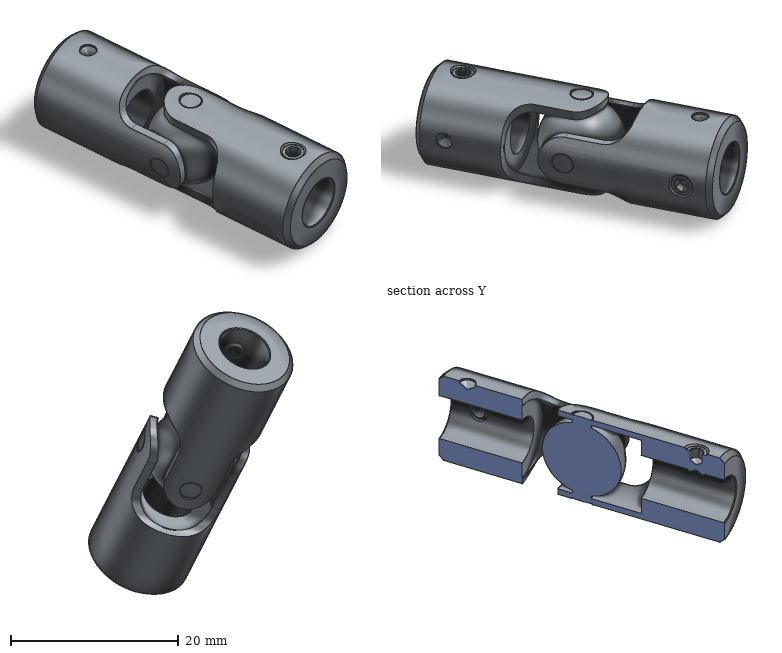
import cadquery as cq
import math


total_length = 38.1
body_diameter = 12.7
body_radius = body_diameter / 2
end_chamfer = 0.65
shaft_bore_diameter = 6.35
bore_rim_chamfer = 0.1

arm_width = 6.35
arm_radius = arm_width / 2
fork_depth = 7.92
fork_cavity_diameter = 10.9

ball_diameter = 10.6
pin_diameter = 2.55
pin_countersink_diameter = 2.9
pin_tip_rise = 0.08
pin_edge_height = body_radius - pin_tip_rise

screw_position = 15.25
screw_diameter = 2.63
screw_hole_chamfer = 0.23
screw_head_height = 6.1
screw_tip_height = 2.95
screw_tip_diameter = 1.9
screw_cup_diameter = 1.68
socket_corner_diameter = 1.8
socket_rim_diameter = 1.85
socket_sides = 6
socket_depth = 1.35
drill_hole_diameter = 2.05
drill_hole_depth = 0.3
drill_point_angle = 118.0

cut_margin = 0.4


def cylinder(diameter, start, end):
    """Cylinder on the Z axis between two heights."""
    return cq.Workplane("XY").workplane(offset=start).circle(diameter / 2).extrude(end - start)


def shaft_cylinder(diameter, start, end):
    """Cylinder on the shaft axis between two X positions."""
    return cq.Workplane("YZ").workplane(offset=start).circle(diameter / 2).extrude(end - start)


def cone(diameter, base, height):
    """Cone on the Z axis; a negative height points its apex down."""
    profile = [(0, base), (diameter / 2, base), (0, base + height)]
    return cq.Workplane("XZ").polyline(profile).close().revolve(360, (0, 0), (0, 1))


def cone_depth(diameter):
    """Depth of a drill point of the given diameter."""
    return diameter / 2 / math.tan(math.radians(drill_point_angle / 2))


def make_pin_countersink():
    """45 degree countersink cutter around a pin, with its mouth at the crest of the body."""
    depth = (pin_countersink_diameter - pin_diameter) / 2
    pin_radius = pin_diameter / 2
    mouth_radius = pin_countersink_diameter / 2
    profile = [
        (0, body_radius - depth),
        (pin_radius, body_radius - depth),
        (mouth_radius, body_radius),
        (mouth_radius, body_radius + cut_margin),
        (0, body_radius + cut_margin),
    ]
    return cq.Workplane("XZ").polyline(profile).close().revolve(360, (0, 0), (0, 1))


def make_fork_notch():
    """Cutter above the arms (+Z), leaving round arm tips and filleted arm roots."""
    arc_step = arm_radius * math.sqrt(0.5)
    root_center = arm_radius - fork_depth
    outline = (
        cq.Workplane("XZ")
        .moveTo(-fork_depth, body_diameter)
        .lineTo(-fork_depth, arm_width)
        .threePointArc((root_center - arc_step, arm_width - arc_step), (root_center, arm_radius))
        .lineTo(0, arm_radius)
        .threePointArc((arc_step, arc_step), (arm_radius, 0))
        .lineTo(body_diameter, 0)
        .lineTo(body_diameter, body_diameter)
        .close()
    )
    return outline.extrude(body_radius + cut_margin, both=True)


def make_set_screw():
    """Hex socket set screw on the Z axis with a chamfered cup point towards the bore."""
    tip_chamfer = (screw_diameter - screw_tip_diameter) / 2
    screw = cylinder(screw_diameter, screw_tip_height, screw_head_height)
    screw = screw.faces("<Z").chamfer(tip_chamfer)
    socket_floor = screw_head_height - socket_depth
    socket = (
        cq.Workplane("XY")
        .workplane(offset=socket_floor)
        .polygon(socket_sides, socket_corner_diameter)
        .extrude(socket_depth)
        .rotate((0, 0, 0), (0, 0, 1), 180 / socket_sides)
    )
    socket_flat_width = socket_corner_diameter * math.cos(math.pi / socket_sides)
    socket_point = cone(socket_flat_width, socket_floor, -cone_depth(socket_flat_width))
    socket_rim = cone(socket_rim_diameter, screw_head_height, -cone_depth(socket_rim_diameter))
    cup = cone(screw_cup_diameter, screw_tip_height, cone_depth(screw_cup_diameter))
    return screw.cut(socket).cut(socket_point).cut(socket_rim).cut(cup)


def make_drilled_hole():
    """Blind drilled hole cutter on the Z axis with a conical bottom."""
    floor = body_radius - drill_hole_depth
    hole = cylinder(drill_hole_diameter, floor, body_radius + cut_margin)
    return hole.union(cone(drill_hole_diameter, floor, -cone_depth(drill_hole_diameter)))


def place_screw(shape):
    """Turn a shape from the Z axis to the set screw place on the +Y side."""
    return shape.rotate((0, 0, 0), (1, 0, 0), -90).translate((-screw_position, 0, 0))


def make_yoke():
    """Yoke on the -X side, with its arms on the +Y and -Y sides."""
    outer_end = -total_length / 2
    yoke = shaft_cylinder(body_diameter, outer_end, arm_radius)
    yoke = yoke.faces("<X").chamfer(end_chamfer)
    yoke = yoke.cut(shaft_cylinder(shaft_bore_diameter, outer_end, arm_radius))
    bore_rim = cq.selectors.RadiusNthSelector(0)
    yoke = yoke.faces("<X").edges(bore_rim).chamfer(bore_rim_chamfer)
    yoke = yoke.cut(shaft_cylinder(fork_cavity_diameter, -fork_depth, arm_radius))

    notch = make_fork_notch()
    yoke = yoke.cut(notch).cut(notch.mirror("XY"))

    pin_mouth = make_pin_countersink()
    for angle in (90, -90):
        yoke = yoke.cut(pin_mouth.rotate((0, 0, 0), (1, 0, 0), angle))

    screw_hole = place_screw(cylinder(screw_diameter, 0, body_diameter))
    yoke = yoke.cut(screw_hole)
    wall_middle = (body_radius + shaft_bore_diameter / 2) / 2
    screw_rim = cq.selectors.BoxSelector(
        (-screw_position - screw_diameter, wall_middle, -screw_diameter),
        (-screw_position + screw_diameter, body_diameter, screw_diameter),
    )
    yoke = yoke.edges(screw_rim).chamfer(screw_hole_chamfer)
    yoke = yoke.union(place_screw(make_set_screw()))

    return yoke.cut(make_drilled_hole().translate((-screw_position, 0, 0)))


def make_pin():
    """Pin on the Z axis with shallow conical ends."""
    pin = cylinder(pin_diameter, -pin_edge_height, pin_edge_height)
    tip = cone(pin_diameter, pin_edge_height, pin_tip_rise)
    return pin.union(tip).union(tip.mirror("XY"))


left_yoke = make_yoke()
right_yoke = left_yoke.rotate((0, 0, 0), (0, 1, 1), 180)
ball = cq.Workplane("XY").sphere(ball_diameter / 2)
pin_z = make_pin()
pin_y = pin_z.rotate((0, 0, 0), (1, 0, 0), 90)

result = ball.union(pin_z).union(pin_y).union(left_yoke).union(right_yoke)